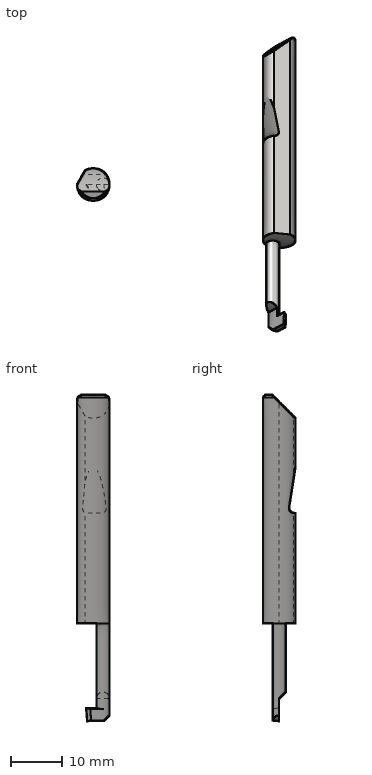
import cadquery as cq
import math

shank_diameter = 6.35
shank_radius = shank_diameter / 2
overall_length = 63.5
neck_length = 19.05
top_chamfer = 0.5

flat_span = 60.0
flat_facing = 150.0
flat_distance = shank_radius * math.cos(math.radians(flat_span / 2))

top_cut_edge_y = -1.4

notch_bottom_z = 40.55
notch_depth = 1.25
notch_angle = 9.0
notch_radius = 0.9

neck_diameter = 2.56
neck_radius = neck_diameter / 2
neck_x = shank_radius - neck_radius
rake_cut_z = 4.4
tip_chamfer = 1.15

upper_corner_x = -1.4
lower_corner_x = -1.2
head_height = 2.6
side_relief = 0.8
relief_bulge = 0.1
upper_relief = 0.2
end_relief_angle = 5.0
end_clearance_angle = 1.0


def flat_cut():
    """Block beyond the vertical plane of the flat, turned to the direction the flat faces."""
    block = cq.Workplane("XY").box(
        shank_diameter, 2 * shank_diameter, overall_length, centered=(False, True, False)
    )
    return block.translate((flat_distance, 0, 0)).rotate((0, 0, 0), (0, 0, 1), flat_facing)


def side_cutter(outline):
    """Extrude a closed (Y, Z) outline across the full width of the shank."""
    return outline.close().extrude(shank_radius, both=True)


def top_cut():
    drop = shank_radius - top_cut_edge_y
    outline = (
        cq.Workplane("YZ")
        .moveTo(top_cut_edge_y, overall_length)
        .lineTo(shank_radius, overall_length - drop)
        .lineTo(shank_radius, overall_length)
    )
    return side_cutter(outline)


def notch_cut():
    slope = math.radians(notch_angle)
    center_y = shank_radius - notch_depth + notch_radius
    center_z = notch_bottom_z + notch_radius
    tangent_y = center_y - notch_radius * math.cos(slope)
    tangent_z = center_z + notch_radius * math.sin(slope)
    start_z = tangent_z + (shank_radius - tangent_y) / math.tan(slope)
    arc_mid_offset = notch_radius * math.sqrt(0.5)
    outline = (
        cq.Workplane("YZ")
        .moveTo(shank_radius, start_z)
        .lineTo(tangent_y, tangent_z)
        .threePointArc(
            (center_y - arc_mid_offset, center_z - arc_mid_offset),
            (center_y, notch_bottom_z),
        )
        .lineTo(shank_radius, notch_bottom_z)
    )
    return side_cutter(outline)


def make_shank():
    shank = (
        cq.Workplane("XY", origin=(0, 0, neck_length))
        .circle(shank_radius)
        .extrude(overall_length - neck_length)
        .faces(">Z")
        .chamfer(top_chamfer)
    )
    return shank.cut(flat_cut()).cut(top_cut()).cut(notch_cut())


def make_neck():
    neck = cq.Workplane("XY", origin=(neck_x, 0, 0)).circle(neck_radius).extrude(neck_length)
    rake_cut = (
        cq.Workplane("YZ")
        .lineTo(neck_radius, 0)
        .lineTo(neck_radius, rake_cut_z + neck_radius)
        .lineTo(0, rake_cut_z)
    )
    tip_cut = (
        cq.Workplane("XZ")
        .moveTo(shank_radius, 0)
        .lineTo(shank_radius, tip_chamfer)
        .lineTo(shank_radius - tip_chamfer, 0)
        .close()
        .extrude(neck_radius, both=True)
    )
    return neck.cut(side_cutter(rake_cut)).cut(tip_cut)


def head_outline(plan, corner_x):
    """Plan outline of the head: a bulging relief edge, then straight back into the neck."""
    return (
        plan.moveTo(corner_x, 0)
        .threePointArc(
            (corner_x + side_relief / 2 - relief_bulge, -neck_radius / 2),
            (corner_x + side_relief, -neck_radius),
        )
        .lineTo(neck_x, -neck_radius)
        .lineTo(neck_x, 0)
        .close()
    )


def make_head():
    lower = head_outline(cq.Workplane("XY"), lower_corner_x)
    head = head_outline(lower.workplane(offset=head_height), upper_corner_x).loft(ruled=True)
    upper_relief_cut = (
        cq.Workplane("YZ")
        .moveTo(0, head_height)
        .lineTo(-neck_radius, head_height)
        .lineTo(-neck_radius, head_height - upper_relief)
    )
    return head.cut(side_cutter(upper_relief_cut))


def end_relief_cut():
    """Block under the tip, tilted about the lower cutting corner to rise toward +X and -Y."""
    block = cq.Workplane("XY").box(
        2 * shank_diameter, 2 * shank_diameter, shank_radius, centered=(True, True, False)
    )
    return (
        block.translate((0, 0, -shank_radius))
        .rotate((0, 0, 0), (1, 0, 0), -end_relief_angle)
        .rotate((0, 0, 0), (0, 1, 0), -end_clearance_angle)
        .translate((lower_corner_x, 0, 0))
    )


tip = make_neck().union(make_head()).cut(end_relief_cut())
result = make_shank().union(tip)